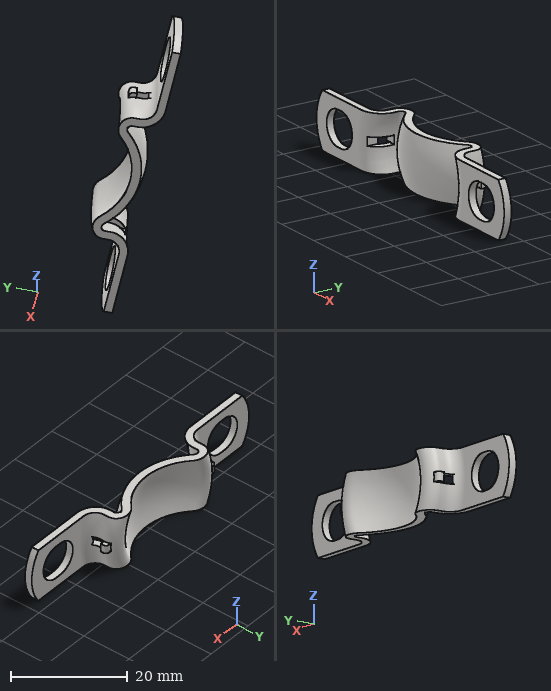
import cadquery as cq
import math

length = 58.75
width = 11.1
depth = 7.15
sheet = 1.5
end_radius = 9.4

wall_inner_radius = 12.45
flange_bend_radius = 2.35
crest_radius = 0.7
saddle_bottom = 0.1

slot_spacing = 44.4
slot_length = 7.95
slot_width = 6.8

tab_width = 1.7
tab_bottom = 4.9
tab_top = 6.15
tab_reach = 14.8
tab_corner_radius = 0.7
window_reach = 14.3

wall_outer_radius = wall_inner_radius + sheet
wall_mid_radius = wall_inner_radius + sheet / 2
bend_r = wall_outer_radius + flange_bend_radius
bend_y = sheet + flange_bend_radius
crest_r = wall_inner_radius - crest_radius
crest_y = depth - sheet - crest_radius

rise = crest_y - saddle_bottom
saddle_radius = (rise**2 + crest_r**2 - crest_radius**2) / (2 * (rise + crest_radius))
saddle_y = saddle_bottom + saddle_radius
tangent_angle = math.asin(crest_r / (saddle_radius + crest_radius))


def on_arc(center_r, center_y, radius, angle):
    """Point on an arc; the angle is measured from -Y toward +X."""
    return center_r + radius * math.sin(angle), center_y - radius * math.cos(angle)


def crest_middle(radius):
    """Point halfway round the crest bend, between the saddle tangent and the wall."""
    start = tangent_angle + math.pi
    end = math.pi / 2
    return on_arc(crest_r, crest_y, radius, (start + end) / 2)


def make_sheet():
    """Revolved sheet: saddle, crest, wall, bend and flat flange."""
    front = saddle_radius
    back = saddle_radius - sheet
    bend_middle = -math.pi / 4
    outer_bend = flange_bend_radius + sheet
    outer_crest = crest_radius + sheet
    profile = (
        cq.Workplane("XY")
        .moveTo(0, saddle_bottom)
        .threePointArc(
            on_arc(0, saddle_y, front, tangent_angle / 2),
            on_arc(0, saddle_y, front, tangent_angle),
        )
        .threePointArc(crest_middle(crest_radius), (wall_inner_radius, crest_y))
        .lineTo(wall_inner_radius, bend_y)
        .threePointArc(on_arc(bend_r, bend_y, outer_bend, bend_middle), (bend_r, 0))
        .lineTo(length, 0)
        .lineTo(length, sheet)
        .lineTo(bend_r, sheet)
        .threePointArc(
            on_arc(bend_r, bend_y, flange_bend_radius, bend_middle),
            (wall_outer_radius, bend_y),
        )
        .lineTo(wall_outer_radius, crest_y)
        .threePointArc(crest_middle(outer_crest), on_arc(0, saddle_y, back, tangent_angle))
        .threePointArc(
            on_arc(0, saddle_y, back, tangent_angle / 2),
            (0, saddle_bottom + sheet),
        )
        .close()
    )
    return profile.revolve(360, (0, 0, 0), (0, 1, 0))


def make_strip():
    """Block with the strip outline: straight long sides and arched ends."""
    half_length = length / 2
    half_width = width / 2
    corner_x = half_length - end_radius + math.sqrt(end_radius**2 - half_width**2)
    return (
        cq.Workplane("XZ")
        .moveTo(-corner_x, -half_width)
        .lineTo(corner_x, -half_width)
        .threePointArc((half_length, 0), (corner_x, half_width))
        .lineTo(-corner_x, half_width)
        .threePointArc((-half_length, 0), (-corner_x, -half_width))
        .close()
        .extrude(-depth)
    )


def make_slots():
    """Cutters for the two mounting slots."""
    return (
        cq.Workplane("XZ")
        .pushPoints([(-slot_spacing / 2, 0), (slot_spacing / 2, 0)])
        .slot2D(slot_length, slot_width)
        .extrude(-depth)
    )


def block(x_start, x_end, y_start, y_end):
    """Block as wide as a tab, centred on Z."""
    size = (x_end - x_start, y_end - y_start, tab_width)
    return cq.Workplane("XY").box(*size, centered=(False, False, True)).translate((x_start, y_start, 0))


def add_tab(body, side):
    """Open a window through the wall and leave a tab above it; side is -1 or 1."""
    window = block(crest_r, window_reach, 0, tab_bottom)
    tab = block(wall_mid_radius, tab_reach, tab_bottom, tab_top)
    tab = tab.edges(">X and >Y").fillet(tab_corner_radius)
    if side < 0:
        window = window.mirror("YZ")
        tab = tab.mirror("YZ")
    return body.cut(window).union(tab)


result = make_sheet().intersect(make_strip()).cut(make_slots())
for side in (-1, 1):
    result = add_tab(result, side)